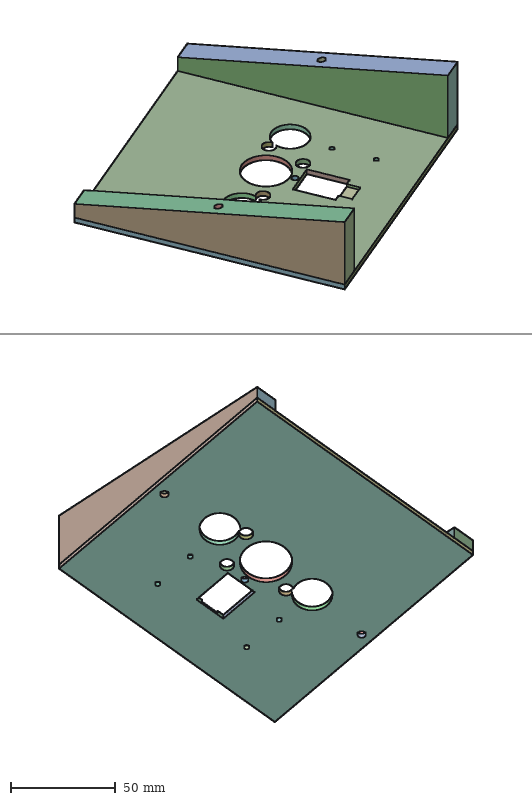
import cadquery as cq

side = 140.0
plate_thickness = 3.0

total_height = 40.0
low_end_height = 11.0
wall_thickness = 12.0
wall_y = (side - wall_thickness) / 2

screw_x = 2.1
screw_diameter = 4.0

center_opening_diameter = 25.0
outer_opening_diameter = 19.5
outer_opening_y = 30.0

side_hole_diameter = 7.0
side_hole_points = [(-6.3, 18.8), (14.0, 12.5), (6.3, -18.8)]

window_start_x = 17.5
window_length = 22.1
window_width = 17.4
ledge_length = 7.1
ledge_width = 10.1
ledge_depth = 1.5

gap_hole_diameter = 3.5
gap_hole_x = (center_opening_diameter / 2 + window_start_x) / 2

mount_hole_diameter = 2.5
mount_near_x = 22.1
mount_far_x = 45.1
mount_y = 28.8


def drill(body, points, diameter):
    """Cut vertical holes through the full height of a body."""
    cutter = cq.Workplane("XY").pushPoints(points).circle(diameter / 2).extrude(total_height)
    return body.cut(cutter)


def cut_window(body):
    """Cut the rectangular window and the recessed ledge that opens into it."""
    window_end_x = window_start_x + window_length
    window = cq.Workplane("XY").box(
        window_length, window_width, plate_thickness, centered=(False, True, False)
    ).translate((window_start_x, 0, 0))
    ledge = cq.Workplane("XY").box(
        ledge_length, ledge_width, ledge_depth, centered=(False, True, False)
    ).translate((window_end_x, 0, plate_thickness - ledge_depth))
    return body.cut(window).cut(ledge)


def make_plate():
    """Square plate with all of its openings."""
    plate = cq.Workplane("XY").box(side, side, plate_thickness, centered=(True, True, False))
    plate = drill(plate, [(0, 0)], center_opening_diameter)
    plate = drill(plate, [(0, -outer_opening_y), (0, outer_opening_y)], outer_opening_diameter)
    plate = drill(plate, side_hole_points, side_hole_diameter)
    plate = drill(plate, [(gap_hole_x, 0)], gap_hole_diameter)
    mount_points = [(x, y) for x in (mount_near_x, mount_far_x) for y in (-mount_y, mount_y)]
    plate = drill(plate, mount_points, mount_hole_diameter)
    plate = drill(plate, [(screw_x, -wall_y), (screw_x, wall_y)], screw_diameter)
    return cut_window(plate)


def make_wall(center_y):
    """Wall whose top slopes up from the -X end to the +X end."""
    outline = [
        (-side / 2, plate_thickness),
        (side / 2, plate_thickness),
        (side / 2, total_height),
        (-side / 2, low_end_height),
    ]
    wall = cq.Workplane("XZ").polyline(outline).close().extrude(wall_thickness / 2, both=True)
    wall = wall.translate((0, center_y, 0))
    return drill(wall, [(screw_x, center_y)], screw_diameter)


plate = make_plate()
walls = [make_wall(center_y) for center_y in (-wall_y, wall_y)]

result = cq.Compound.makeCompound([plate.val(), *[wall.val() for wall in walls]])